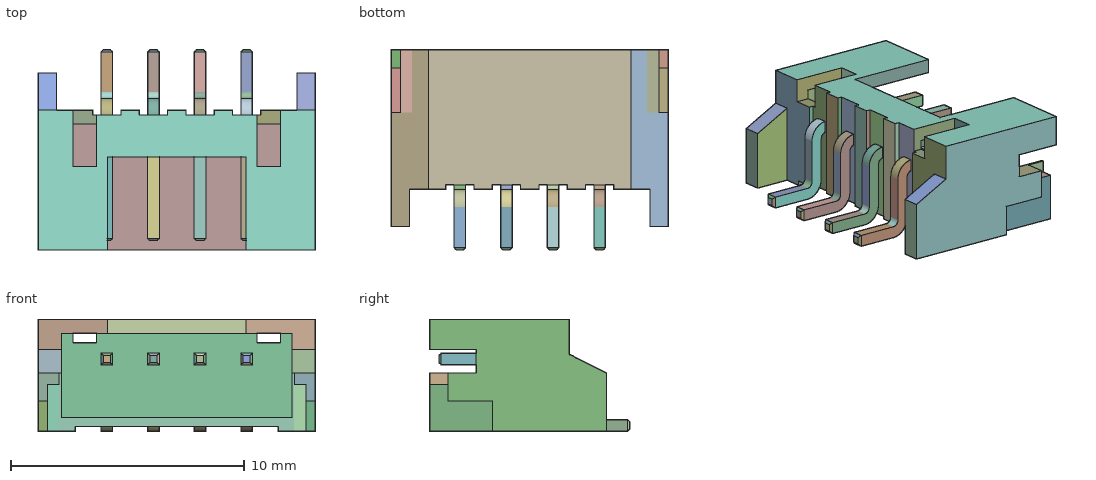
import cadquery as cq
import math


width = 11.9
height = 4.8
roof_depth = 6.0
wing_depth = 7.6
wing_thickness = 0.8
wing_back_height = 2.5
wing_slope_top = 3.3

side_wall = 1.0
floor_top = 0.6
roof_bottom = 4.2
cavity_depth = 5.4
mouth_width = width / 2
mouth_depth = 4.0
underside_width = 8.7
underside_clearance = 0.2
side_notch_depth = 2.0
side_notch_bottom = 2.5
side_notch_top = 3.5
latch_slot_width = 1.0
latch_slot_center = 3.95
latch_slot_front = 3.575
latch_slot_bottom = 3.8

tab_inset = 0.4
tab_thickness = 0.5
tab_height = 2.0
tab_length = 2.7
tab_low_height = 1.3
tab_exposed_length = 0.8

pin_count = 4
pin_pitch = 2.0
pin_size = 0.5
pin_chamfer = 0.1
pin_front = 0.4
pin_back = 8.6
pin_axis_height = 3.1
bend_inner_radius = 0.25
leg_axis = 6.26
pin_groove_width = 1.2
pin_groove_depth = 0.2

half_width = width / 2
cavity_half_width = half_width - side_wall
tab_outer_x = half_width - tab_inset
tab_inner_x = tab_outer_x - tab_thickness
pin_positions = [(i - (pin_count - 1) / 2) * pin_pitch for i in range(pin_count)]


def block(x_range, y_range, z_range):
    """Axis-aligned box between the given limits."""
    size = [high - low for low, high in (x_range, y_range, z_range)]
    corner = (x_range[0], y_range[0], z_range[0])
    return cq.Workplane("XY").box(*size, centered=False).translate(corner)


def mirrored_pair(shape):
    """The shape together with its mirror image across the YZ plane."""
    return shape.union(shape.mirror("YZ"))


def make_shell():
    """Full-width block with a side wing running back from each end."""
    shell = block((-half_width, half_width), (0, roof_depth), (0, height))
    wing = (
        cq.Workplane("YZ", origin=(half_width - wing_thickness, 0, 0))
        .polyline([
            (0, 0),
            (wing_depth, 0),
            (wing_depth, wing_back_height),
            (roof_depth, wing_slope_top),
            (roof_depth, height),
            (0, height),
        ])
        .close()
        .extrude(wing_thickness)
    )
    return shell.union(mirrored_pair(wing))


def make_cavity():
    """Mating cavity, its open mouth in the roof and the relief under the floor."""
    cavity = block(
        (-cavity_half_width, cavity_half_width), (0, cavity_depth), (floor_top, roof_bottom)
    )
    mouth = block((-mouth_width / 2, mouth_width / 2), (0, mouth_depth), (floor_top, height))
    underside = block(
        (-underside_width / 2, underside_width / 2), (0, roof_depth), (0, underside_clearance)
    )
    return cavity.union(mouth).union(underside)


def make_side_notches():
    """Openings through the side walls at the mating face."""
    notch = block(
        (cavity_half_width, half_width), (0, side_notch_depth), (side_notch_bottom, side_notch_top)
    )
    return mirrored_pair(notch)


def make_latch_slots():
    """Slots through the roof, open at the back above the lowered rear wall."""
    half_slot = latch_slot_width / 2
    slot = block(
        (latch_slot_center - half_slot, latch_slot_center + half_slot),
        (latch_slot_front, roof_depth),
        (latch_slot_bottom, height),
    )
    return mirrored_pair(slot)


def make_tab_recesses():
    """Stepped front-corner recesses that leave only a thin inner wall beside each tab."""
    low_step = block((tab_inner_x, half_width), (0, tab_length), (0, tab_low_height))
    front_step = block((tab_inner_x, half_width), (0, tab_exposed_length), (0, side_notch_bottom))
    return mirrored_pair(low_step.union(front_step))


def make_tab():
    """L-shaped hold-down tab at the +X end, filling its recess beside the thin wall."""
    foot = block((tab_inner_x, tab_outer_x), (0, tab_length), (0, tab_low_height))
    upright = block((tab_inner_x, tab_outer_x), (0, tab_exposed_length), (0, tab_height))
    return foot.union(upright)


def make_pin_groove(x):
    """Shallow vertical groove in the rear wall behind one pin."""
    half_groove = pin_groove_width / 2
    return block(
        (x - half_groove, x + half_groove), (roof_depth - pin_groove_depth, roof_depth), (0, height)
    )


def make_pin(x):
    """Square pin: horizontal contact, vertical leg, then a horizontal solder tail."""
    half_pin = pin_size / 2
    radius = bend_inner_radius + half_pin
    diagonal = radius * math.sqrt(0.5)
    upper_y = leg_axis - radius
    upper_z = pin_axis_height - radius
    lower_y = leg_axis + radius
    lower_z = half_pin + radius
    path = (
        cq.Workplane("YZ", origin=(x, 0, 0))
        .moveTo(pin_front, pin_axis_height)
        .lineTo(upper_y, pin_axis_height)
        .threePointArc((upper_y + diagonal, upper_z + diagonal), (leg_axis, upper_z))
        .lineTo(leg_axis, lower_z)
        .threePointArc((lower_y - diagonal, lower_z - diagonal), (lower_y, half_pin))
        .lineTo(pin_back, half_pin)
    )
    pin = (
        cq.Workplane("XZ", origin=(x, pin_front, pin_axis_height))
        .rect(pin_size, pin_size)
        .sweep(path)
    )
    return pin.faces("<Y or >Y").chamfer(pin_chamfer)


result = (
    make_shell()
    .cut(make_cavity())
    .cut(make_side_notches())
    .cut(make_latch_slots())
    .cut(make_tab_recesses())
)
for pin_x in pin_positions:
    result = result.cut(make_pin_groove(pin_x))
for pin_x in pin_positions:
    result = result.union(make_pin(pin_x))

tab = make_tab()
result = result.union(tab, clean=False).union(tab.mirror("YZ"), clean=False)